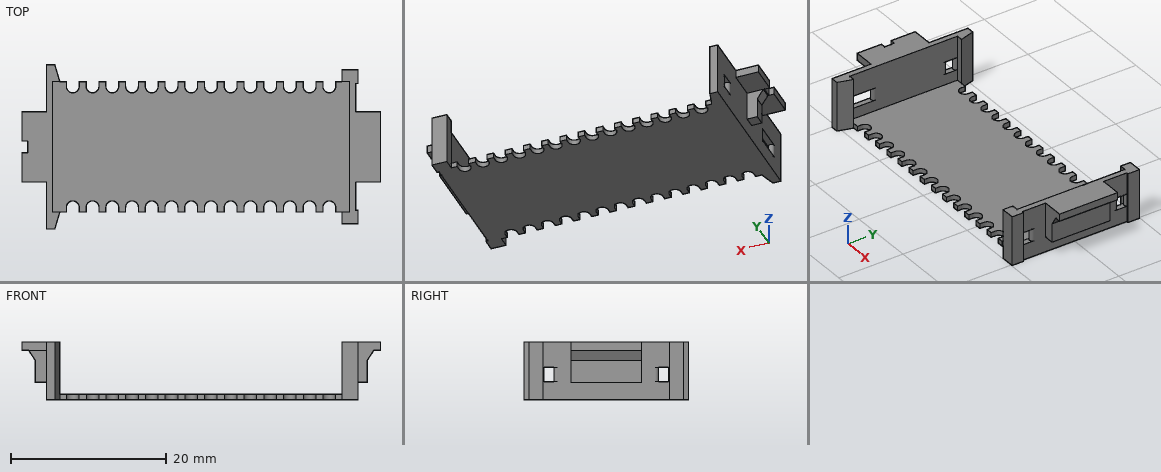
import cadquery as cq

length = 46.2
width = 21.2
height = 7.5

floor_width = 16.8
floor_thickness = 0.75
notch_count = 14
notch_pitch = 2.55
notch_width = 1.6
notch_depth = 1.45

wall_thickness = 0.85
left_wall_x = 3.15
left_wall_inner_x = left_wall_x + wall_thickness
right_wall_x = 43.0
right_wall_inner_x = right_wall_x - wall_thickness

flange_tip_x = 4.25
flange_root_x = 4.9

post_inner_x = 41.2
post_outer_x = 43.3
post_span = 19.85
post_outer_gap = 16.25

tab_width = 9.05
tab_thickness = 1.1
tab_bottom = height - tab_thickness
tab_notch_width = 1.5
tab_notch_depth = 0.75
rib_width = 1.52
support_bottom = 2.25
support_slope_bottom = 5.1
support_inset = 3.7
support_slope_inset = 1.9

window_bottom = 2.35
window_top = 4.2
window_outer_y = 8.4
window_inner_y = 6.35
wide_window_inner_y = 4.4
window_rounding = wall_thickness / 2


def block(x_start, x_end, y_start, y_end, z_start, z_end):
    """Axis-aligned box between two corners."""
    size = (x_end - x_start, y_end - y_start, z_end - z_start)
    return cq.Workplane().box(*size, centered=False).translate((x_start, y_start, z_start))


def centred_block(x_start, x_end, y_size, z_start, z_end):
    """Box that is symmetric about the XZ plane."""
    return block(x_start, x_end, -y_size / 2, y_size / 2, z_start, z_end)


def make_floor():
    floor = centred_block(left_wall_x, right_wall_x, floor_width, 0, floor_thickness)
    middle_x = (left_wall_inner_x + right_wall_inner_x) / 2
    slot_length = 2 * notch_depth
    for index in range(notch_count):
        x = middle_x + (index - (notch_count - 1) / 2) * notch_pitch
        for side in (-1, 1):
            notch = (
                cq.Workplane()
                .center(x, side * floor_width / 2)
                .slot2D(slot_length, notch_width, 90)
                .extrude(floor_thickness)
            )
            floor = floor.cut(notch)
    return floor


def make_left_wall():
    outline = [
        (left_wall_x, -width / 2),
        (flange_tip_x, -width / 2),
        (flange_root_x, -floor_width / 2),
        (left_wall_inner_x, -floor_width / 2),
        (left_wall_inner_x, floor_width / 2),
        (flange_root_x, floor_width / 2),
        (flange_tip_x, width / 2),
        (left_wall_x, width / 2),
    ]
    return cq.Workplane().polyline(outline).close().extrude(height)


def make_right_wall():
    wall = centred_block(post_inner_x, post_outer_x, post_span, 0, height)
    wall = wall.cut(centred_block(post_inner_x, right_wall_inner_x, floor_width, 0, height))
    return wall.cut(centred_block(right_wall_x, post_outer_x, post_outer_gap, 0, height))


def make_support(tip_x, wall_x, inward, y_size):
    """Support below a tab; inward is the X direction from the tab tip to the wall."""
    face_x = tip_x + inward * support_inset
    outline = [
        (wall_x, support_bottom),
        (face_x, support_bottom),
        (face_x, support_slope_bottom),
        (tip_x + inward * support_slope_inset, tab_bottom),
        (wall_x, tab_bottom),
    ]
    return cq.Workplane("XZ").polyline(outline).close().extrude(y_size / 2, both=True)


def make_left_tab():
    tab = centred_block(0, left_wall_x, tab_width, tab_bottom, height)
    tab = tab.cut(centred_block(0, tab_notch_depth, tab_notch_width, tab_bottom, height))
    return tab.union(make_support(0, left_wall_x, 0.45, rib_width))


def make_right_tab():
    tab = centred_block(right_wall_x, length, tab_width, tab_bottom, height)
    return tab.union(make_support(length, right_wall_x, -0.45, tab_width))


def make_window(near_x, y_start, y_end):
    """Cutter for a window whose side edges are rounded over the whole wall thickness."""
    far_x = near_x + wall_thickness
    middle_x = near_x + window_rounding
    return (
        cq.Workplane()
        .workplane(offset=window_bottom)
        .moveTo(near_x, y_start)
        .threePointArc((middle_x, y_start + window_rounding), (far_x, y_start))
        .lineTo(far_x, y_end)
        .threePointArc((middle_x, y_end - window_rounding), (near_x, y_end))
        .close()
        .extrude(window_top - window_bottom)
    )


result = make_floor()
for piece in (make_left_wall(), make_right_wall(), make_left_tab(), make_right_tab()):
    result = result.union(piece)

for wall_face_x in (left_wall_x, right_wall_inner_x):
    result = result.cut(make_window(wall_face_x, window_inner_y, window_outer_y))
result = result.cut(make_window(left_wall_x, -window_outer_y, -wide_window_inner_y))
result = result.cut(make_window(right_wall_inner_x, -window_outer_y, -window_inner_y))